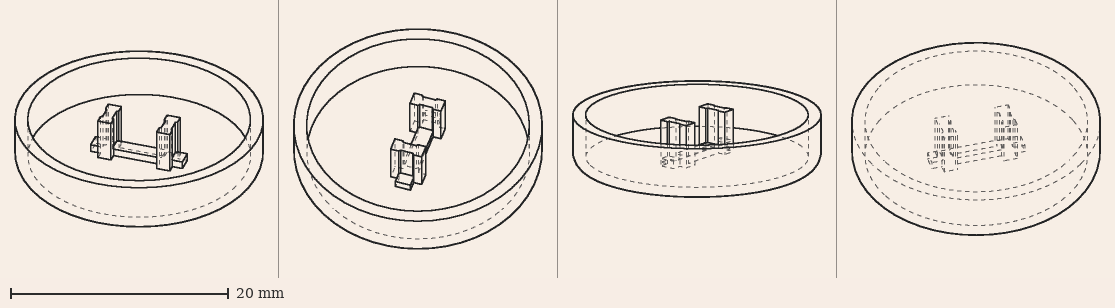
import cadquery as cq

outer_diameter = 22.8
inner_diameter = 20.43
height = 5.0
floor_thickness = 1.0
bottom_radius = 1.5

bar_length = 8.9
bar_width = 1.45
bar_height = 0.7

post_spacing = 5.7
post_thickness = 1.28
post_width = 2.99
post_height = height - floor_thickness
groove_depth = 0.15
groove_mouth = bar_width
groove_bottom = 1.19


def make_shell():
    """Open cup with a rounded bottom edge."""
    body = cq.Workplane("XY").circle(outer_diameter / 2).extrude(height)
    body = body.faces("<Z").edges().fillet(bottom_radius)
    cavity = (
        cq.Workplane("XY")
        .workplane(offset=floor_thickness)
        .circle(inner_diameter / 2)
        .extrude(height - floor_thickness)
    )
    return body.cut(cavity)


def make_bar():
    """Low crossbar running through both posts."""
    return (
        cq.Workplane("XY")
        .workplane(offset=floor_thickness)
        .rect(bar_length, bar_width)
        .extrude(bar_height)
    )


def make_post(center_x):
    """Upright post with a tapered-sided groove along both broad faces."""
    face = post_thickness / 2
    waist = face - groove_depth
    right_side = [
        (face, -post_width / 2),
        (face, -groove_mouth / 2),
        (waist, -groove_bottom / 2),
        (waist, groove_bottom / 2),
        (face, groove_mouth / 2),
        (face, post_width / 2),
    ]
    left_side = [(-x, -y) for x, y in right_side]
    return (
        cq.Workplane("XY")
        .workplane(offset=floor_thickness)
        .center(center_x, 0)
        .polyline(right_side + left_side)
        .close()
        .extrude(post_height)
    )


result = make_shell().union(make_bar())
for side in (-1, 1):
    result = result.union(make_post(side * post_spacing / 2))